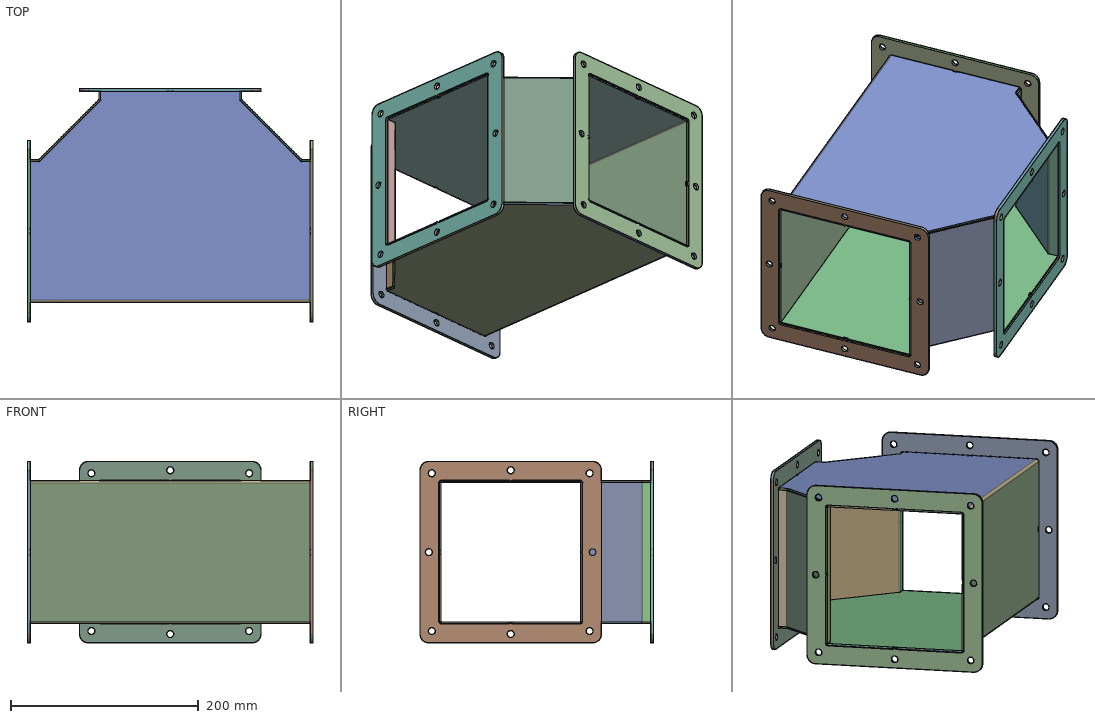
import cadquery as cq
import math


duct_size = 152.4
sheet = 1.897
bend_inner_radius = 0.762
half_duct = duct_size / 2
half_inside = half_duct - sheet
bend_outer_radius = bend_inner_radius + sheet

flange_reach = 152.4
flange_size = 193.675
flange_thickness = 3.175
flange_corner_radius = 9.525
hole_diameter = 7.14
corner_hole_edge = 12.7
middle_hole_edge = 9.525
corner_hole_offset = flange_size / 2 - corner_hole_edge
middle_hole_offset = flange_size / 2 - middle_hole_edge

opening_clearance = 0.397
opening_corner_radius = 3.175
half_opening = half_duct + opening_clearance
duct_recess = flange_thickness / 2
sheet_end = flange_reach - duct_recess

tab_width = 3.175
tab_height = 1.9
notch_width = 4.7625
notch_depth = flange_thickness - duct_recess

stub_length = 12.0
outer_bend = flange_reach - stub_length
inner_bend = outer_bend - sheet * math.tan(math.radians(22.5))


def make_tab(plane, angle):
    """Pointed tab on the opening side that lies at the given angle from the plane's local x."""
    return (
        cq.Workplane(plane)
        .transformed(rotate=(0, 0, angle))
        .moveTo(half_opening, -tab_width / 2)
        .lineTo(half_opening - tab_height, 0)
        .lineTo(half_opening, tab_width / 2)
        .close()
        .extrude(-flange_thickness)
    )


def make_flange(plane, tab_angles):
    """Square ring, its outer face on the plane and its thickness behind it."""
    thickness_edges = cq.selectors.ParallelDirSelector(plane.zDir)
    ring = (
        cq.Workplane(plane)
        .rect(flange_size, flange_size)
        .extrude(-flange_thickness)
        .edges(thickness_edges)
        .fillet(flange_corner_radius)
    )
    opening = (
        cq.Workplane(plane)
        .rect(2 * half_opening, 2 * half_opening)
        .extrude(-flange_thickness)
        .edges(thickness_edges)
        .fillet(opening_corner_radius)
    )
    for angle in tab_angles:
        opening = opening.cut(make_tab(plane, angle))

    hole_centres = [
        (x * corner_hole_offset, y * corner_hole_offset) for x in (-1, 1) for y in (-1, 1)
    ]
    for side in (-1, 1):
        hole_centres.append((side * middle_hole_offset, 0))
        hole_centres.append((0, side * middle_hole_offset))
    holes = (
        cq.Workplane(plane)
        .pushPoints(hole_centres)
        .circle(hole_diameter / 2)
        .extrude(-flange_thickness)
    )
    return ring.cut(opening).cut(holes)


def make_panel(front_y, bottom_z, height):
    """Flat tee-shaped panel that ends at the inner faces of the shoulder walls."""
    right_side = [
        (sheet_end, front_y),
        (sheet_end, half_inside),
        (inner_bend, half_inside),
        (half_inside, inner_bend),
        (half_inside, sheet_end),
    ]
    left_side = [(-x, y) for x, y in reversed(right_side)]
    return (
        cq.Workplane("XY", origin=(0, 0, bottom_z))
        .polyline(right_side + left_side)
        .close()
        .extrude(height)
    )


def cut_end_notches(sheet_body):
    """Notch the middle of each end of the top, bottom and front sheets."""
    notch_centre = sheet_end - notch_depth / 2
    for side in (-1, 1):
        end_x = side * notch_centre
        panel_notch = cq.Workplane("XY").box(notch_depth, notch_width, duct_size)
        sheet_body = sheet_body.cut(panel_notch.translate((end_x, 0, 0)))
        front_notch = cq.Workplane("XY").box(notch_depth, duct_size, notch_width)
        sheet_body = sheet_body.cut(front_notch.translate((end_x, 0, 0)))
    branch_notch = cq.Workplane("XY").box(notch_width, notch_depth, duct_size)
    return sheet_body.cut(branch_notch.translate((0, notch_centre, 0)))


def make_top_and_front():
    """Top panel and front wall, bent from one sheet."""
    folded_sheet = (
        cq.Workplane("YZ", origin=(-sheet_end, 0, 0))
        .moveTo(-half_duct, -half_inside)
        .lineTo(-half_duct, half_duct - bend_outer_radius)
        .radiusArc((-half_duct + bend_outer_radius, half_duct), bend_outer_radius)
        .lineTo(sheet_end, half_duct)
        .lineTo(sheet_end, half_inside)
        .lineTo(-half_inside + bend_inner_radius, half_inside)
        .radiusArc((-half_inside, half_inside - bend_inner_radius), -bend_inner_radius)
        .lineTo(-half_inside, -half_inside)
        .close()
        .extrude(2 * sheet_end)
    )
    plan_outline = make_panel(-half_duct, -half_duct, duct_size)
    return cut_end_notches(folded_sheet.intersect(plan_outline))


def make_bottom_panel():
    """Flat bottom panel, its front edge at the inner face of the front wall."""
    return cut_end_notches(make_panel(-half_inside, -half_duct, sheet))


def round_bends(wall, bend, face, radius):
    """Round the two upright bend edges on one face of a shoulder wall."""
    for x, y in ((bend, face), (face, bend)):
        wall = wall.edges(cq.selectors.NearestToPointSelector((x, y, 0))).fillet(radius)
    return wall


def make_shoulder_wall():
    """Wall on the +X side: stub, 45 degree run, stub."""
    wall = (
        cq.Workplane("XY", origin=(0, 0, -half_inside))
        .moveTo(sheet_end, half_duct)
        .lineTo(outer_bend, half_duct)
        .lineTo(half_duct, outer_bend)
        .lineTo(half_duct, sheet_end)
        .lineTo(half_inside, sheet_end)
        .lineTo(half_inside, inner_bend)
        .lineTo(inner_bend, half_inside)
        .lineTo(sheet_end, half_inside)
        .close()
        .extrude(2 * half_inside)
    )
    wall = round_bends(wall, outer_bend, half_duct, bend_inner_radius)
    return round_bends(wall, inner_bend, half_inside, bend_outer_radius)


flange_layout = [
    ((-1, 0, 0), (0, 180, 90)),
    ((1, 0, 0), (0, 180, 270)),
    ((0, 1, 0), (0, 180)),
]
flanges = []
for direction, tab_angles in flange_layout:
    centre = tuple(flange_reach * component for component in direction)
    flange_plane = cq.Plane(origin=centre, xDir=(0, 0, 1), normal=direction)
    flanges.append(make_flange(flange_plane, tab_angles))

top_and_front = make_top_and_front()
bottom_panel = make_bottom_panel()
right_wall = make_shoulder_wall()
shoulder_walls = [right_wall, right_wall.mirror("YZ")]

bodies = [top_and_front, bottom_panel, *shoulder_walls, *flanges]
result = cq.Compound.makeCompound([body.solids().val() for body in bodies])